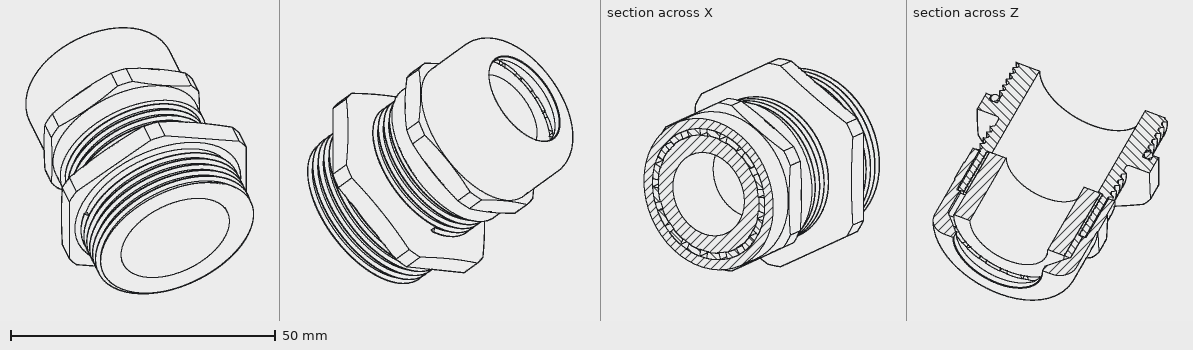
import cadquery as cq
import math


LENGTH = 42.55
LIP_END = 1.28
CLAMP_FRONT = 4.95
NECK_FRONT = 10.65
CAP_HEX_FRONT = 12.75
CAP_HEX_WIDTH = 4.25
CAP_END = 20.75
CLAMP_END = 21.25
NECK_THREAD_END = 27.77
FLANGE_FRONT = 29.4
FLANGE_BACK = 33.5

CAP_DIAMETER = 29.7
CAP_NOSE_RADIUS = 3.57
CAP_HEX_FLATS = 30.0
CAP_HEX_CORNERS = 33.0
MOUTH_DIAMETER = 18.5
MOUTH_CHAMFER = 0.13
CAVITY_DIAMETER = 25.5
CAVITY_CONE_ANGLE = 42
CAP_NECK_BORE = 26.92

CAGE_DIAMETER = 24.15
SEAL_DIAMETER = 23.0
SEAL_BORE = 16.2
SLOT_COUNT = 17
SLOT_WIDTH = 1.5

NECK_DIAMETER = 26.62
NECK_CREST_DIAMETER = 28.15
NECK_FILLET = 0.6
CAGE_BORE = 24.2
REAR_BORE = 22.05
FLANGE_FLATS = 36.0
FLANGE_CORNERS = 39.98
SHANK_DIAMETER = 30.32
SHANK_CREST_DIAMETER = 31.9
HEX_CHAMFER = 0.45

FIVE_TURN_LENGTH = 7.5
PITCH = FIVE_TURN_LENGTH / 5
RIDGE_BASE = 1.0
RIDGE_TIP = 0.13
RIDGE_ROOT_DEPTH = 0.1
SHANK_THREAD_START = 34.3
SHANK_THREAD_ANGLE = 253
NECK_THREAD_END_ANGLE = -12

RING_SECTION_RADIUS = 0.85
RING_CENTRE_RADIUS = SHANK_DIAMETER / 2 + RING_SECTION_RADIUS
RING_CENTRE_X = 33.2


def cylinder(x_start, x_end, diameter):
    return cq.Workplane("YZ", origin=(x_start, 0, 0)).circle(diameter / 2).extrude(x_end - x_start)


def tube(x_start, x_end, outer_diameter, inner_diameter):
    return cylinder(x_start, x_end, outer_diameter).cut(cylinder(x_start, x_end, inner_diameter))


def cone(x_start, x_end, start_diameter, end_diameter):
    profile = [(x_start, 0), (x_start, start_diameter / 2), (x_end, end_diameter / 2), (x_end, 0)]
    return cq.Workplane("XY").polyline(profile).close().revolve(360, (0, 0, 0), (1, 0, 0))


def hexagon(x_start, width, flats, corners, bevel_back):
    """Hexagonal prism with corners up and down, turned to a cylinder there and bevelled by cones."""
    x_end = x_start + width
    outline = cq.Workplane("YZ", origin=(x_start, 0, 0))
    prism = outline.polygon(6, flats, circumscribed=True).extrude(width)
    back_cylinder_end = x_end - HEX_CHAMFER if bevel_back else x_end
    envelope = cone(x_start, x_start + HEX_CHAMFER, flats, corners)
    envelope = envelope.union(cylinder(x_start + HEX_CHAMFER, back_cylinder_end, corners))
    if bevel_back:
        envelope = envelope.union(cone(back_cylinder_end, x_end, corners, flats))
    return prism.intersect(envelope)


def thread_ridge(x_start, x_end, start_angle, root_diameter, crest_diameter):
    """Right-hand helical ridge around X; its angle is counted from -Z towards +Y."""
    root_radius = root_diameter / 2
    base_radius = root_radius - RIDGE_ROOT_DEPTH
    helix = cq.Wire.makeHelix(PITCH, x_end - x_start, root_radius)
    crest_radius = crest_diameter / 2
    flank_slope = (RIDGE_BASE - RIDGE_TIP) / (crest_radius - root_radius)
    base_width = RIDGE_BASE + RIDGE_ROOT_DEPTH * flank_slope
    profile = [
        (base_radius, -base_width / 2),
        (crest_radius, -RIDGE_TIP / 2),
        (crest_radius, RIDGE_TIP / 2),
        (base_radius, base_width / 2),
    ]
    ridge = cq.Workplane("XZ").polyline(profile).close().sweep(cq.Workplane(helix), isFrenet=True)
    ridge = ridge.rotate((0, 0, 0), (0, 0, 1), start_angle)
    return ridge.rotate((0, 0, 0), (0, 1, 0), 90).translate((x_start, 0, 0))


def cap_cavity():
    """Room behind the cap nut's lip, up to the front of the neck."""
    cone_depth = (CAVITY_DIAMETER - MOUTH_DIAMETER) / 2 / math.tan(math.radians(CAVITY_CONE_ANGLE))
    cone_end = LIP_END + cone_depth
    cavity = cone(LIP_END, cone_end, MOUTH_DIAMETER, CAVITY_DIAMETER)
    return cavity.union(cylinder(cone_end, NECK_FRONT, CAVITY_DIAMETER))


def make_cap_nut():
    cap = cylinder(0, CAP_END, CAP_DIAMETER).faces("<X").edges().fillet(CAP_NOSE_RADIUS)
    cap = cap.union(hexagon(CAP_HEX_FRONT, CAP_HEX_WIDTH, CAP_HEX_FLATS, CAP_HEX_CORNERS, True))
    cap = cap.cut(cone(0, MOUTH_CHAMFER, MOUTH_DIAMETER + 2 * MOUTH_CHAMFER, MOUTH_DIAMETER))
    cap = cap.cut(cylinder(0, LIP_END, MOUTH_DIAMETER))
    cap = cap.cut(cap_cavity())
    return cap.cut(cylinder(NECK_FRONT, CAP_END, CAP_NECK_BORE))


def make_cage():
    """Sleeve in the neck, with a ring of fingers that fills the cap nut's cavity around the seal."""
    cage = cap_cavity().intersect(tube(CLAMP_FRONT, NECK_FRONT, CAVITY_DIAMETER, SEAL_DIAMETER))
    cage = cage.union(tube(NECK_FRONT, CLAMP_END, CAGE_DIAMETER, SEAL_DIAMETER))
    slot = cq.Workplane("XY").box(
        NECK_FRONT - CLAMP_FRONT, CAVITY_DIAMETER / 2, SLOT_WIDTH, centered=(False, False, True)
    ).translate((CLAMP_FRONT, 0, 0))
    for index in range(SLOT_COUNT):
        cage = cage.cut(slot.rotate((0, 0, 0), (1, 0, 0), index * 360 / SLOT_COUNT))
    return cage


def make_seal():
    return tube(CLAMP_FRONT, CLAMP_END, SEAL_DIAMETER, SEAL_BORE)


def make_o_ring():
    section = cq.Workplane("XY").center(RING_CENTRE_X, RING_CENTRE_RADIUS).circle(RING_SECTION_RADIUS)
    return section.revolve(360, (-RING_CENTRE_X, -RING_CENTRE_RADIUS, 0), (0, -RING_CENTRE_RADIUS, 0))


def neck_fillet():
    """Concave flare where the neck meets the flange."""
    root = NECK_DIAMETER / 2
    start = FLANGE_FRONT - NECK_FILLET
    mid = NECK_FILLET * math.sqrt(0.5)
    return (
        cq.Workplane("XY")
        .moveTo(start, root)
        .threePointArc((start + mid, root + NECK_FILLET - mid), (FLANGE_FRONT, root + NECK_FILLET))
        .lineTo(FLANGE_FRONT, REAR_BORE / 2)
        .lineTo(start, REAR_BORE / 2)
        .close()
        .revolve(360, (0, 0, 0), (1, 0, 0))
    )


def neck_thread():
    """Ridge that starts a turn inside the cap nut and is trimmed flush with the cap nut's rim."""
    ridge_start = CAP_END - PITCH
    start_angle = NECK_THREAD_END_ANGLE - 360 * (NECK_THREAD_END - ridge_start) / PITCH
    ridge = thread_ridge(ridge_start, NECK_THREAD_END, start_angle, NECK_DIAMETER, NECK_CREST_DIAMETER)
    return ridge.intersect(cylinder(CAP_END, FLANGE_FRONT, FLANGE_FLATS))


def shank_thread():
    """Ridge trimmed by the O-ring's outer face and by the end of the body."""
    ridge = thread_ridge(
        SHANK_THREAD_START, LENGTH + PITCH, SHANK_THREAD_ANGLE, SHANK_DIAMETER, SHANK_CREST_DIAMETER
    )
    ring_face = RING_CENTRE_X + RING_SECTION_RADIUS
    return ridge.intersect(cylinder(ring_face, LENGTH, FLANGE_FLATS))


def make_body():
    flange_width = FLANGE_BACK - FLANGE_FRONT
    ring_groove = tube(
        RING_CENTRE_X - RING_SECTION_RADIUS,
        FLANGE_BACK,
        2 * (RING_CENTRE_RADIUS + RING_SECTION_RADIUS),
        SHANK_DIAMETER,
    )
    body = cylinder(NECK_FRONT, FLANGE_FRONT, NECK_DIAMETER)
    body = body.union(neck_fillet())
    body = body.union(hexagon(FLANGE_FRONT, flange_width, FLANGE_FLATS, FLANGE_CORNERS, False))
    body = body.cut(ring_groove)
    body = body.union(cylinder(FLANGE_BACK, LENGTH, SHANK_DIAMETER))
    body = body.cut(cylinder(NECK_FRONT, CLAMP_END, CAGE_BORE))
    body = body.cut(cylinder(CLAMP_END, LENGTH, REAR_BORE))
    return body.union(neck_thread()).union(shank_thread())


cap_nut = make_cap_nut()
cage = make_cage()
seal = make_seal()
body = make_body()
o_ring = make_o_ring()

result = cq.Compound.makeCompound(
    [part.solids().val() for part in (cap_nut, cage, seal, body, o_ring)]
)